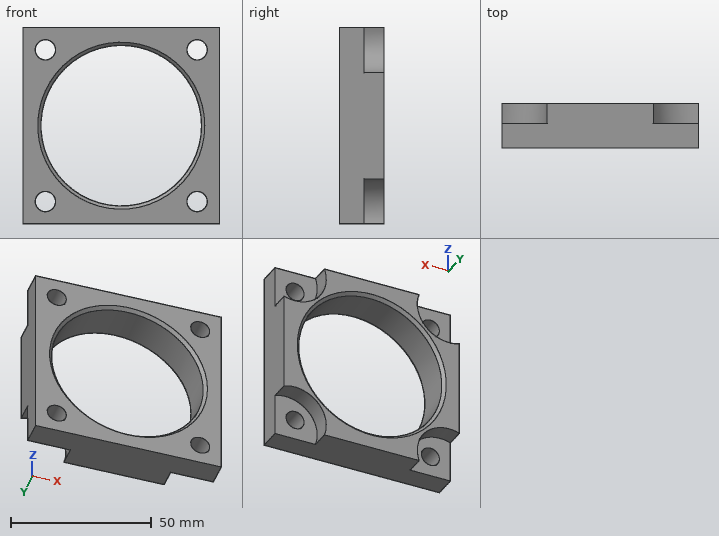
import cadquery as cq
import math

side = 69.85
depth = 15.85
flange_thickness = 8.7

bore_diameter = 57.0
rim_chamfer = 1.2

hole_spacing = 53.9
hole_diameter = 7.1
relief_width = 16.1
relief_inset = 4.2
relief_radius = math.hypot(relief_inset, relief_width - relief_inset)
relief_spacing = side - 2 * relief_inset


def corner_cylinders(spacing, radius, start, length):
    """Four cylinders along +Y at the corners of a centred square."""
    return (
        cq.Workplane("XZ", origin=(0, start, 0))
        .rect(spacing, spacing, forConstruction=True)
        .vertices()
        .circle(radius)
        .extrude(-length)
    )


block = cq.Workplane("XY").box(side, depth, side).translate((0, depth / 2, 0))

bore = cq.Workplane("XZ").circle(bore_diameter / 2).extrude(-depth)
body = block.cut(bore)
body = body.faces("<Y or >Y").edges("%CIRCLE").chamfer(rim_chamfer)

holes = corner_cylinders(hole_spacing, hole_diameter / 2, 0, depth)
reliefs = corner_cylinders(relief_spacing, relief_radius, flange_thickness, depth - flange_thickness)

result = body.cut(holes).cut(reliefs)